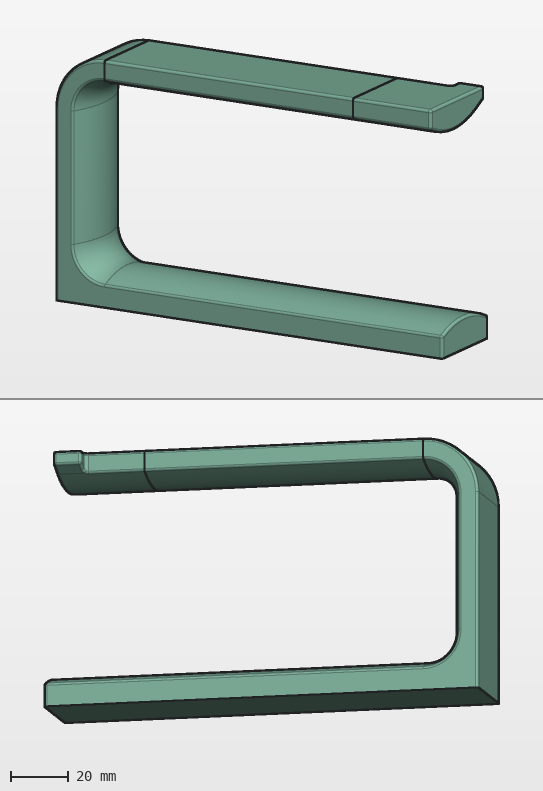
import cadquery as cq
import math

length = 155.0
width = 32.0
height = 89.0
outer_radius = 19.7
edge_fillet = 1.0

arm_crown_thickness = 10.8
base_crown_thickness = 11.8
crown_corner_radius = 9.1
crown_rise = 3.7

arm_end = 150.5
tip_joint = 119.2
hook_length = 10.0
hook_reach = 5.1
hook_corner_radius = 1.32

corner_x = outer_radius
arm_joint = corner_x
edge_corner_radius = crown_corner_radius + crown_rise
wall_edge_x = corner_x - edge_corner_radius
base_edge_z = base_crown_thickness - crown_rise
arm_edge_z = height - (arm_crown_thickness - crown_rise)
lower_corner_z = base_edge_z + edge_corner_radius
upper_corner_z = arm_edge_z - edge_corner_radius

crown_radius = ((width / 2) ** 2 + crown_rise**2) / (2 * crown_rise)
crown_edge_slope = (width / 2) / (crown_radius - crown_rise)
hook_x = arm_end - hook_length
hook_back_y = width + hook_reach
hook_tip_z = arm_edge_z + hook_reach * crown_edge_slope


def trace_inner_edge(sketch):
    """Draw the edge line of the opening: base end, round the wall, to the arm end."""
    diagonal = edge_corner_radius * math.sqrt(0.5)
    return (
        sketch.moveTo(length, base_edge_z)
        .lineTo(corner_x, base_edge_z)
        .threePointArc(
            (corner_x - diagonal, lower_corner_z - diagonal),
            (wall_edge_x, lower_corner_z),
        )
        .lineTo(wall_edge_x, upper_corner_z)
        .threePointArc(
            (corner_x - diagonal, upper_corner_z + diagonal),
            (corner_x, arm_edge_z),
        )
        .lineTo(arm_end, arm_edge_z)
    )


def flat_bar():
    """C-shaped bar with flat inner faces and one rounded outer corner."""
    diagonal = outer_radius * math.sqrt(0.5)
    return (
        trace_inner_edge(cq.Workplane("XZ", origin=(0, width, 0)))
        .lineTo(arm_end, height)
        .lineTo(outer_radius, height)
        .threePointArc(
            (outer_radius - diagonal, height - outer_radius + diagonal),
            (0, height - outer_radius),
        )
        .lineTo(0, 0)
        .lineTo(length, 0)
        .close()
        .extrude(width)
    )


def crown():
    """Circular segment swept along the inner edge, bulging into the opening."""
    path = trace_inner_edge(cq.Workplane("XZ"))
    return (
        cq.Workplane("YZ", origin=(length, 0, base_edge_z))
        .threePointArc((width / 2, crown_rise), (width, 0))
        .close()
        .sweep(path)
    )


def hook():
    """Ear behind the free end of the arm, thinning towards the back."""
    return (
        cq.Workplane("YZ", origin=(hook_x, 0, 0))
        .moveTo(width, arm_edge_z)
        .lineTo(width, height)
        .lineTo(hook_back_y, height)
        .lineTo(hook_back_y, hook_tip_z)
        .close()
        .extrude(hook_length)
    )


def box_between(low, high):
    """Selector for edges whose centre lies between two opposite corners."""
    return cq.selectors.BoxSelector(low, high)


def round_edges(holder):
    """Round the hook's inner corner, then every sharp edge above the flat bottom."""
    r = edge_fillet
    corner_r = hook_corner_radius
    hook_corner = box_between(
        (hook_x - r, width - r, arm_edge_z + r),
        (hook_x + r, width + r, height - r),
    )
    holder = holder.edges(hook_corner).fillet(corner_r)

    above_bottom = cq.selectors.StringSyntaxSelector("not <Z")
    curve_seams = box_between((-r, r, 0), (corner_x + r, width - r, height + r))
    hook_corner_seams = box_between(
        (hook_x - corner_r - r, width - r, arm_edge_z + r),
        (hook_x + r, width + corner_r + r, height - r),
    )
    hook_underside_seam = box_between(
        (hook_x + r, width - r, arm_edge_z - r),
        (arm_end - r, width + r, arm_edge_z + r),
    )
    sharp_edges = above_bottom - curve_seams - hook_corner_seams - hook_underside_seam
    return holder.edges(sharp_edges).fillet(r)


def arm_slab(x_start, x_end):
    """Block holding the stretch of the upper arm between two X positions."""
    slab = cq.Workplane("XY", origin=(x_start, 0, upper_corner_z))
    return slab.box(x_end - x_start, hook_back_y, height - upper_corner_z, centered=False)


holder = round_edges(flat_bar().union(crown()).union(hook()))
arm_space = arm_slab(arm_joint, tip_joint)
tip_space = arm_slab(tip_joint, arm_end)

frame = holder.cut(arm_space).cut(tip_space)

arm = holder.intersect(arm_space)

tip = holder.intersect(tip_space)

result = cq.Compound.makeCompound([frame.val(), arm.val(), tip.val()])